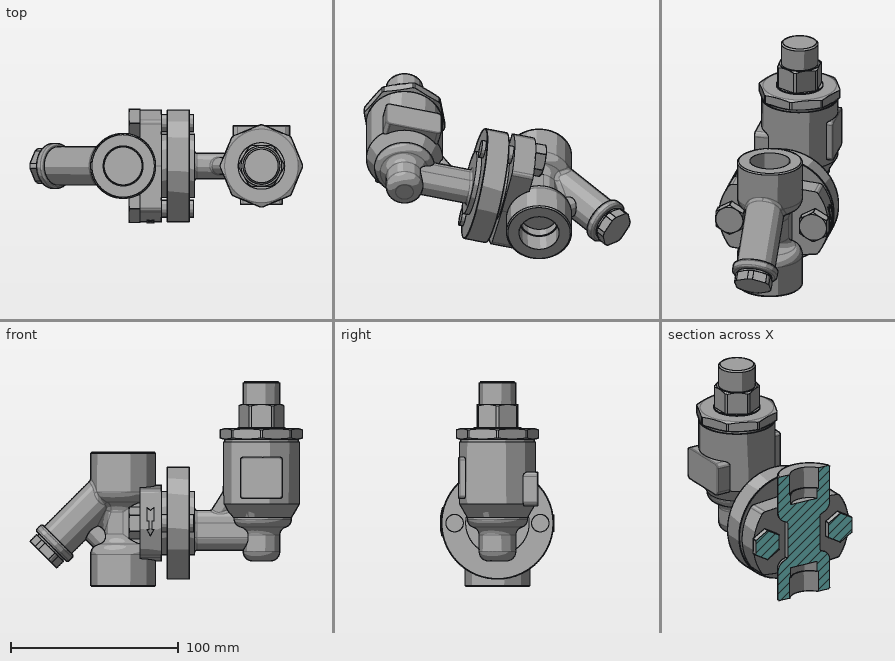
import cadquery as cq
import math



def cylinder(diameter, start, end, axis):
    """Round bar along global "X" or "Z" from start to end."""
    plane = {"X": "YZ", "Z": "XY"}[axis]
    return cq.Workplane(plane).workplane(offset=start).circle(diameter / 2).extrude(end - start)


def faceted(sides, across_flats, corner_diameter, height):
    """Sharp prism with a corner on local X, and the round bar that trims its corners."""
    sharp_diameter = across_flats / math.cos(math.pi / sides)
    prism = cq.Workplane("XY").polygon(sides, sharp_diameter).extrude(height)
    turned = cq.Workplane("XY").circle(corner_diameter / 2).extrude(height)
    return prism, turned


def ogee(big_radius, big_z, round_radius, small_radius, hollow_radius, way):
    """Tangent S-curve from a large to a small cylinder; way = +1 or -1 is the Z direction travelled.

    Returns mid and end points of the convex arc, then mid and end points of the concave arc.
    """
    round_r = big_radius - round_radius
    hollow_r = small_radius + hollow_radius
    reach = round_radius + hollow_radius
    drop = math.sqrt(reach ** 2 - (hollow_r - round_r) ** 2)
    end_angle = math.atan2(drop, hollow_r - round_r)

    def on_round(angle):
        return (round_r + round_radius * math.cos(angle),
                big_z + way * round_radius * math.sin(angle))

    def on_hollow(angle):
        return (hollow_r - hollow_radius * math.cos(angle),
                big_z + way * (drop - hollow_radius * math.sin(angle)))

    return on_round(end_angle / 2), on_round(end_angle), on_hollow(end_angle / 2), on_hollow(0)


body_diameter = 39.0
body_top = 42.3
body_bottom = -38.0
body_rim_chamfer = 0.8
body_shoulder = 18.7
body_round = 6.7
neck_diameter = 22.8
neck_hollow = 6.5
socket_diameter = 24.0
socket_depth = 13.2
socket_floor_diameter = 22.6
socket_floor_depth = 19.5

branch_diameter = 23.0
branch_axis_height = 28.8
branch_fillet = 3.0
collar_diameter = 27.0
collar_start = 55.0
collar_end = 60.5
collar_fillet = 1.3
cap_neck_diameter = 21.0
cap_start = 61.7
cap_end = 67.5
cap_flats = 21.0
cap_corner_diameter = 22.6
knuckle_diameter = 12.0
knuckle_place = 37.1
knuckle_length = 24.5

lug_start = 10.0
lug_end = 22.8
lug_half_height = 22.6
lug_ridge_slope = 5.0
lug_corner_fillet = 3.3
flange_diameter = 67.0
flange_start = 26.2
flange_end = 39.7
flange_chamfer = 0.3
spigot_diameter = 38.0
spigot_end = 42.7
bolt_diameter = 10.5
bolt_offset = 25.5
bolt_end = 42.0
bolt_head_start = 3.5
bolt_head_flats = 16.6
bolt_corner_diameter = 19.0
bolt_chamfer = 0.5
arrow_relief = 0.7

pipe_width = 15.3
pipe_upper_arc = 0.0
pipe_lower_arc = -8.6
pipe_fillet = 1.5
brace_diameter = 10.0
brace_base_x = 57.8
brace_base_z = 6.5
brace_angle = 58.0
brace_length = 19.5
brace_buried_length = brace_diameter
brace_fillet = 1.6

trap_x = 82.5
trap_diameter = 45.6
trap_top = 48.5
trap_cone_top = 11.5
trap_cone_bottom = 3.3
trap_hub_bottom = 2.3
trap_hub_diameter = 35.8
trap_round = 4.9
trap_neck_diameter = 22.0
trap_hollow = 5.0
trap_bottom = -22.6
trap_bottom_fillet = 5.7
groove_diameter = 44.0
cover_bottom = 50.0
cover_top = 56.5
cover_flats = 46.0
cover_corner_diameter = 49.2
cover_chamfer = 0.8
washer_diameter = 27.9
washer_top = 57.2
nut_top = 70.9
nut_flats = 24.3
nut_corner_diameter = 27.0
nut_chamfer = 0.8
stud_diameter = 22.0
stud_top = 84.5
stud_chamfer = 1.0

front_pad_width = 25.1
front_pad_bottom = 14.7
front_pad_top = 39.4
front_pad_reach = 23.1
front_pad_corner = 1.6
front_pad_edge_fillet = 0.7
rear_pad_width = 33.9
rear_pad_bottom = 10.1
rear_pad_top = 30.5
rear_pad_reach = 24.1
rear_pad_corner = 2.6
rear_pad_edge_fillet = 0.5


def valve_body():
    radius = body_diameter / 2
    neck_radius = neck_diameter / 2
    lower = ogee(radius, -body_shoulder, body_round, neck_radius, neck_hollow, 1)
    upper = ogee(radius, body_shoulder, body_round, neck_radius, neck_hollow, -1)
    outline = (
        cq.Workplane("XZ")
        .moveTo(0, body_bottom)
        .lineTo(radius, body_bottom)
        .lineTo(radius, -body_shoulder)
        .threePointArc(lower[0], lower[1])
        .threePointArc(lower[2], lower[3])
        .lineTo(*upper[3])
        .threePointArc(upper[2], upper[1])
        .threePointArc(upper[0], (radius, body_shoulder))
        .lineTo(radius, body_top)
        .lineTo(0, body_top)
        .close()
    )
    body = outline.revolve(360, (0, 0), (0, 1))
    return body.faces("<Z or >Z").chamfer(body_rim_chamfer)


def lug_web():
    """Flat-sided web joining the neck to the lug plate, flaring toward the plate."""
    flare_start = 6.8
    flare_end = 12.0
    flare_end_x = 7.2
    return (
        cq.Workplane("XZ")
        .polyline([
            (0, flare_start), (flare_end_x, flare_end), (lug_start, flare_end),
            (lug_start, -flare_end), (flare_end_x, -flare_end), (0, -flare_start),
        ])
        .close()
        .extrude(neck_diameter / 2, both=True)
    )


def sockets():
    """Stepped blind holes in the top and bottom ends of the body."""
    holes = cq.Workplane("XY")
    for diameter, depth in ((socket_diameter, socket_depth), (socket_floor_diameter, socket_floor_depth)):
        holes = holes.union(cylinder(diameter, body_top - depth, body_top, "Z"))
        holes = holes.union(cylinder(diameter, body_bottom, body_bottom + depth, "Z"))
    return holes


branch_plane = cq.Plane(origin=(0, 0, branch_axis_height), xDir=(-1, 0, 1), normal=(-1, 0, -1))


def branch_tube():
    return cq.Workplane(branch_plane).circle(branch_diameter / 2).extrude(collar_start)


def branch_end():
    collar = (
        cq.Workplane(branch_plane)
        .workplane(offset=collar_start)
        .circle(collar_diameter / 2)
        .extrude(collar_end - collar_start)
        .edges()
        .fillet(collar_fillet)
    )
    neck = (
        cq.Workplane(branch_plane)
        .workplane(offset=collar_end)
        .circle(cap_neck_diameter / 2)
        .extrude(cap_start - collar_end)
    )
    prism, turned = faceted(6, cap_flats, cap_corner_diameter, cap_end - cap_start)
    cap = prism.intersect(turned).translate((0, 0, cap_start))
    cap = cq.Workplane(cap.val().moved(cq.Location(branch_plane)))
    return collar.union(neck).union(cap)


def knuckle():
    """Short round bridge from the underside of the branch to the lower body shoulder."""
    place = branch_plane.toWorldCoords((0, 0, knuckle_place))
    plane = cq.Plane(origin=place, xDir=(0, 1, 0), normal=(1, 0, -1))
    return cq.Workplane(plane).circle(knuckle_diameter / 2).extrude(knuckle_length)


def lug_plate():
    disc = cylinder(flange_diameter, lug_start, lug_end, "X")
    half_width = flange_diameter / 2
    edge_half_height = lug_half_height - half_width * math.tan(math.radians(lug_ridge_slope))
    band = (
        cq.Workplane("YZ")
        .workplane(offset=lug_start)
        .polyline([
            (-half_width, -edge_half_height), (0, -lug_half_height), (half_width, -edge_half_height),
            (half_width, edge_half_height), (0, lug_half_height), (-half_width, edge_half_height),
        ])
        .close()
        .extrude(lug_end - lug_start)
    )
    plate = disc.intersect(band)
    corners = plate.edges("|X").edges("not(>Z or <Z)")
    return corners.fillet(lug_corner_fillet)


def flow_arrow():
    """Raised arrow on the -Y rim of the lug plate, pointing down."""
    middle_x = 16.3
    head_bottom = -7.7
    head_top = -3.7
    tail_bottom = 1.3
    tail_notch = 7.7
    tail_top = 9.3
    half_tail = 2.1
    half_shaft = 0.8
    right = [(half_tail, head_top), (half_shaft, head_top), (half_shaft, tail_bottom),
             (half_tail, tail_bottom), (half_tail, tail_top)]
    left = [(-x, z) for x, z in reversed(right)]
    return (
        cq.Workplane("XZ")
        .polyline([(0, head_bottom)] + right + [(0, tail_notch)] + left)
        .close()
        .extrude(flange_diameter / 2 + arrow_relief)
        .translate((middle_x, 0, 0))
        .intersect(cylinder(flange_diameter + 2 * arrow_relief, lug_start, lug_end, "X"))
    )


def bolts():
    head, turned = faceted(6, bolt_head_flats, bolt_corner_diameter, lug_start - bolt_head_start)
    bevel = (bolt_corner_diameter - bolt_head_flats) / 2
    head = head.intersect(turned.faces("<Z").edges().chamfer(bolt_chamfer, bevel))
    head = head.rotate((0, 0, 0), (0, 1, 0), 90).translate((bolt_head_start, 0, 0))
    bolt = head.union(cylinder(bolt_diameter, lug_start, bolt_end, "X"))
    return bolt.translate((0, bolt_offset, 0)).union(bolt.translate((0, -bolt_offset, 0)))


def flange():
    disc = cylinder(flange_diameter, flange_start, flange_end, "X").edges().chamfer(flange_chamfer)
    return disc.union(cylinder(spigot_diameter, lug_end, spigot_end, "X"))


def pipe():
    length = pipe_upper_arc - pipe_lower_arc + pipe_width
    middle = (pipe_upper_arc + pipe_lower_arc) / 2
    return (
        cq.Workplane("YZ")
        .workplane(offset=spigot_end)
        .center(0, middle)
        .slot2D(length, pipe_width, 90)
        .extrude(trap_x - spigot_end)
    )


def brace():
    """Inclined round bar rising from the pipe into the trap wall."""
    angle = math.radians(brace_angle)
    direction = cq.Vector(math.cos(angle), 0, math.sin(angle))
    start = cq.Vector(brace_base_x, 0, brace_base_z) - direction * brace_buried_length
    plane = cq.Plane(origin=start, xDir=(0, 1, 0), normal=direction)
    return cq.Workplane(plane).circle(brace_diameter / 2).extrude(brace_buried_length + brace_length)


def trap_shell():
    hub_radius = trap_hub_diameter / 2
    neck_radius = trap_neck_diameter / 2
    curve = ogee(hub_radius, trap_hub_bottom, trap_round, neck_radius, trap_hollow, -1)
    outline = (
        cq.Workplane("XZ")
        .moveTo(0, trap_top)
        .lineTo(trap_diameter / 2, trap_top)
        .lineTo(trap_diameter / 2, trap_cone_top)
        .lineTo(hub_radius, trap_cone_bottom)
        .lineTo(hub_radius, trap_hub_bottom)
        .threePointArc(curve[0], curve[1])
        .threePointArc(curve[2], curve[3])
        .lineTo(neck_radius, trap_bottom)
        .lineTo(0, trap_bottom)
        .close()
    )
    return outline.revolve(360, (0, 0), (0, 1)).faces("<Z").edges().fillet(trap_bottom_fillet)


def trap_top_parts():
    groove = cylinder(groove_diameter, trap_top, cover_bottom, "Z")
    cover, turned = faceted(8, cover_flats, cover_corner_diameter, cover_top - cover_bottom)
    bevel = (cover_corner_diameter - groove_diameter) / 2
    cover = cover.intersect(turned.edges().chamfer(cover_chamfer, bevel))
    washer = cylinder(washer_diameter, cover_top, washer_top, "Z")
    nut, turned = faceted(6, nut_flats, nut_corner_diameter, nut_top - washer_top)
    bevel = (nut_corner_diameter - nut_flats) / 2
    nut = nut.intersect(turned.faces(">Z").edges().chamfer(nut_chamfer, bevel))
    stud = cylinder(stud_diameter, nut_top, stud_top, "Z").faces(">Z").chamfer(stud_chamfer)
    return (
        groove
        .union(cover.translate((0, 0, cover_bottom)))
        .union(washer)
        .union(nut.translate((0, 0, washer_top)))
        .union(stud)
    )


def front_pad():
    height = front_pad_top - front_pad_bottom
    return (
        cq.Workplane("XY")
        .box(front_pad_width, front_pad_reach, height, centered=(True, False, False))
        .translate((0, -front_pad_reach, front_pad_bottom))
        .edges("|Y")
        .fillet(front_pad_corner)
        .faces("<Y")
        .edges()
        .fillet(front_pad_edge_fillet)
    )


def rear_pad():
    height = rear_pad_top - rear_pad_bottom
    return (
        cq.Workplane("XY")
        .box(rear_pad_width, rear_pad_reach, height, centered=(True, False, False))
        .translate((0, 0, rear_pad_bottom))
        .edges("|Y")
        .fillet(rear_pad_corner)
        .faces(">Y")
        .edges()
        .fillet(rear_pad_edge_fillet)
    )


valve = valve_body().union(branch_tube()).edges("%BSPLINE").fillet(branch_fillet)
valve = valve.union(knuckle()).union(branch_end())
valve = valve.union(lug_web()).union(lug_plate()).union(flow_arrow()).cut(sockets())

arm = pipe().union(brace()).edges("%BSPLINE").fillet(brace_fillet)
arm = arm.union(flange())
pipe_base = cq.selectors.BoxSelector(
    (spigot_end - pipe_fillet, -pipe_width, pipe_lower_arc - pipe_width),
    (spigot_end + pipe_fillet, pipe_width, pipe_upper_arc + pipe_width),
    boundingbox=True)
arm = arm.edges(pipe_base).fillet(pipe_fillet)

trap = trap_shell().union(trap_top_parts()).union(front_pad()).union(rear_pad())
trap = trap.translate((trap_x, 0, 0))

result = valve.union(bolts()).union(arm).union(trap)